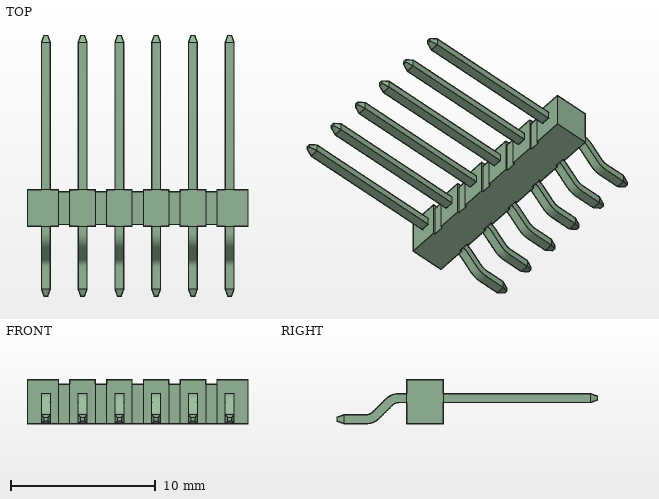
import cadquery as cq
import math

positions = 6
pitch = 2.54
housing_depth = 2.54
housing_height = 3.048
block_width = 1.778
bridge_setback = 0.127
bridge_drop = 0.3048

pin_size = 0.635
pin_axis_height = 1.778
back_reach = 10.668
front_reach = 4.826
tip_length = 0.508
tip_size = 0.266

bend_start = 0.54
bend_angle = 45
inner_radius = 0.635

housing_length = positions * pitch
front_face = -housing_depth / 2
back_face = housing_depth / 2
back_shoulder = back_face + back_reach - tip_length
front_shoulder = front_face - front_reach + tip_length
foot_axis_height = pin_size / 2
pin_places = [(i - (positions - 1) / 2) * pitch for i in range(positions)]
end_places = [pin_places[0], pin_places[-1]]
middle_places = pin_places[1:-1]


def box(x_min, x_max, y_min, y_max, height):
    """A box standing on the base plane."""
    return (
        cq.Workplane("XY")
        .box(x_max - x_min, y_max - y_min, height, centered=False)
        .translate((x_min, y_min, 0))
    )


def pin_profile():
    """Side outline of the pin in the YZ plane, without its pointed ends."""
    half = pin_size / 2
    inner = inner_radius
    outer = inner_radius + pin_size
    axis_radius = inner_radius + half
    sin_bend = math.sin(math.radians(bend_angle))
    cos_bend = math.cos(math.radians(bend_angle))
    sin_half = math.sin(math.radians(bend_angle / 2))
    cos_half = math.cos(math.radians(bend_angle / 2))

    upper_y = front_face - bend_start
    upper_z = pin_axis_height - axis_radius
    slope_drop = pin_axis_height - foot_axis_height - 2 * axis_radius * (1 - cos_bend)
    slope_run = slope_drop * cos_bend / sin_bend
    lower_y = upper_y - 2 * axis_radius * sin_bend - slope_run
    lower_z = foot_axis_height + axis_radius

    def on_upper_bend(radius, sine, cosine):
        return (upper_y - radius * sine, upper_z + radius * cosine)

    def on_lower_bend(radius, sine, cosine):
        return (lower_y + radius * sine, lower_z - radius * cosine)

    return (
        cq.Workplane("YZ")
        .moveTo(back_shoulder, pin_axis_height + half)
        .lineTo(*on_upper_bend(outer, 0, 1))
        .threePointArc(on_upper_bend(outer, sin_half, cos_half), on_upper_bend(outer, sin_bend, cos_bend))
        .lineTo(*on_lower_bend(inner, sin_bend, cos_bend))
        .threePointArc(on_lower_bend(inner, sin_half, cos_half), on_lower_bend(inner, 0, 1))
        .lineTo(front_shoulder, pin_size)
        .lineTo(front_shoulder, 0)
        .lineTo(*on_lower_bend(outer, 0, 1))
        .threePointArc(on_lower_bend(outer, sin_half, cos_half), on_lower_bend(outer, sin_bend, cos_bend))
        .lineTo(*on_upper_bend(inner, sin_bend, cos_bend))
        .threePointArc(on_upper_bend(inner, sin_half, cos_half), on_upper_bend(inner, 0, 1))
        .lineTo(back_shoulder, pin_axis_height - half)
        .close()
    )


def pin_tip(y_base, height, direction):
    """Four-sided taper from the pin section to the small end face; direction is +1 or -1 along Y."""
    plane = cq.Plane(origin=(0, y_base, height), xDir=(1, 0, 0), normal=(0, direction, 0))
    return (
        cq.Workplane(plane)
        .rect(pin_size, pin_size)
        .workplane(offset=tip_length)
        .rect(tip_size, tip_size)
        .loft(combine=True)
    )


def make_pin(x):
    """One bent pin, pointed at both ends."""
    shank = pin_profile().extrude(pin_size / 2, both=True)
    back_tip = pin_tip(back_shoulder, pin_axis_height, 1)
    front_tip = pin_tip(front_shoulder, foot_axis_height, -1)
    return shank.union(back_tip).union(front_tip).translate((x, 0, 0))


def make_housing():
    """A row of blocks joined by lower, narrower bridges; the end blocks reach the housing ends."""
    first, last = end_places
    bridge_front = front_face + bridge_setback
    bridge_back = back_face - bridge_setback
    body = box(first, last, bridge_front, bridge_back, housing_height - bridge_drop)
    for x in pin_places:
        x_min = -housing_length / 2 if x == first else x - block_width / 2
        x_max = housing_length / 2 if x == last else x + block_width / 2
        body = body.union(box(x_min, x_max, front_face, back_face, housing_height))
    return body


end_pins = [make_pin(x) for x in end_places]
housing = make_housing()
for x in middle_places:
    housing = housing.union(make_pin(x))
for end_pin in end_pins:
    housing = housing.cut(end_pin)

result = cq.Compound.makeCompound([housing.val(), *[end_pin.val() for end_pin in end_pins]])